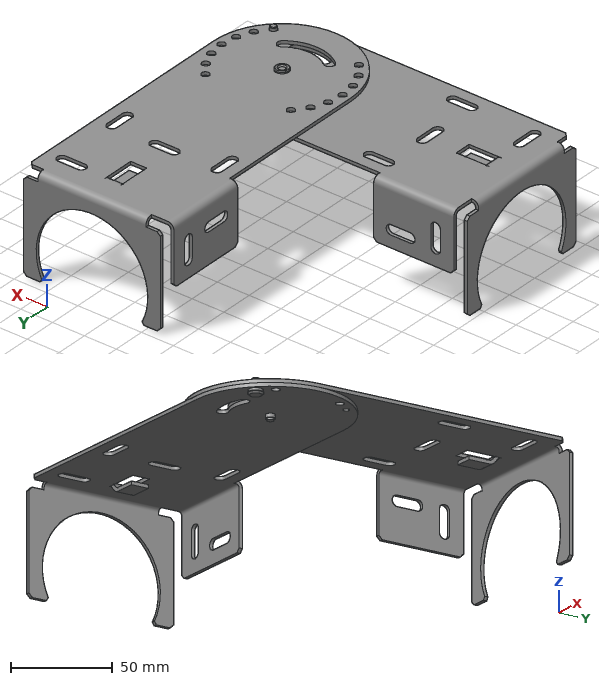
import cadquery as cq
import math


sheet = 2.0
corner_chamfer = 2.0
bend_inner = 2.0
bend_outer = bend_inner + sheet

half_width = 43.0
reach = 150.5
shoulder_y = 146.0

end_flange_depth = 62.5
end_bend_width = 68.0
end_shoulder_depth = 5.0
arch_radius = 35.0
arch_top_depth = 10.5

side_flange_outer = 48.0
side_flange_length = 50.5
side_flange_depth = 37.0
side_flange_end_y = shoulder_y - side_flange_length

slot_length = 18.0
slot_width = 6.0
row_slot_x = 33.0
row_slot_y = 87.0
middle_slot_y = 93.0
corner_slot_x = 27.0
corner_slot_y = 132.5
side_upright_slot_y = 134.5
side_upright_slot_depth = 20.5
side_level_slot_y = 112.5
upper_level_slot_depth = 15.0
lower_level_slot_depth = 26.5

tab_width = 10.0
tab_root_y = 133.8
tab_tip_y = 114.7
tab_window_end_y = 113.5
tab_drop = 4.5
tab_bend_angle = math.radians(45)

detent_ring_radius = 38.0
detent_hole_diameter = 4.5
detent_step = 15
detent_limit = 45
lower_detent_angle = 30
arc_slot_radius = 24.0
upper_arc_half_angle = 38.0
lower_arc_half_angle = 23.0

pivot_diameter = 5.0
pivot_head_diameter = 8.2
pivot_head_height = 1.25
pivot_head_chamfer = 0.5
pivot_recess_diameter = 5.0
pivot_recess_floor_diameter = 3.8
pivot_recess_depth = 0.8
pivot_tail = 2.0
pivot_tip_diameter = 3.75
pivot_tip_length = 1.0

detent_pin_diameter = 4.0
detent_pin_rise = 2.0
detent_pin_chamfer = 0.4
detent_collar_diameter = 7.5
detent_collar_height = 1.4
detent_head_diameter = 8.2
detent_head_height = 1.2
detent_head_chamfer = 0.9
pilot_hole_diameter = 3.2


def ring_point(angle):
    """Point on the detent ring, with the angle in degrees from +X."""
    turn = math.radians(angle)
    return (detent_ring_radius * math.cos(turn), detent_ring_radius * math.sin(turn))


def through(profile):
    """Cutter from a closed profile drawn at Z = 0, passing through one sheet below it."""
    return profile.extrude(-sheet)


def bend_and_flange(length, depth):
    """Bend along X with its flange hanging down; top at Z = 0, outer face at Y = 0."""
    return (
        cq.Workplane("YZ")
        .moveTo(-bend_outer, 0)
        .radiusArc((0, -bend_outer), bend_outer)
        .lineTo(0, -depth)
        .lineTo(-sheet, -depth)
        .lineTo(-sheet, -bend_outer)
        .radiusArc((-bend_outer, -sheet), -bend_inner)
        .close()
        .extrude(length / 2, both=True)
    )


def make_plate():
    """Flat plate with a round pivot end and a narrower band that reaches the end bend."""
    plate = (
        cq.Workplane("XY")
        .moveTo(-half_width, shoulder_y)
        .lineTo(half_width, shoulder_y)
        .lineTo(half_width, 0)
        .threePointArc((0, -half_width), (-half_width, 0))
        .close()
        .extrude(-sheet)
        .edges("|Z and >X and >Y")
        .chamfer(corner_chamfer)
    )
    end_band = cq.Workplane("XY").box(
        end_bend_width, reach - bend_outer - tab_root_y, sheet, centered=(True, False, False)
    ).translate((0, tab_root_y, -sheet))
    return plate.union(end_band)


def make_end_flange():
    """Flange across the end of the plate, with the pipe arch cut out of its lower edge."""
    bend = bend_and_flange(end_bend_width, end_shoulder_depth + sheet)
    panel_height = end_flange_depth - end_shoulder_depth
    panel = (
        cq.Workplane("XZ")
        .center(0, -end_shoulder_depth - panel_height / 2)
        .rect(2 * half_width, panel_height)
        .extrude(sheet)
    )
    arch = cq.Workplane("XZ").center(0, -arch_top_depth - arch_radius).circle(arch_radius).extrude(sheet)
    panel = panel.cut(arch).edges("|Y").chamfer(corner_chamfer)
    return bend.union(panel).translate((0, reach, 0))


def make_side_flange(level_slot_depth):
    """Flange along the -X side of the plate with one upright and one level slot."""
    flange = bend_and_flange(side_flange_length, side_flange_depth)
    flange = flange.edges("|Y and <Z").chamfer(corner_chamfer)
    flange_middle_y = shoulder_y - side_flange_length / 2
    slots = (
        cq.Workplane("XZ")
        .center(side_upright_slot_y - flange_middle_y, -side_upright_slot_depth)
        .slot2D(slot_length, slot_width, 90)
        .extrude(sheet)
    )
    slots = slots.union(
        cq.Workplane("XZ")
        .center(side_level_slot_y - flange_middle_y, -level_slot_depth)
        .slot2D(slot_length, slot_width)
        .extrude(sheet)
    )
    flange = flange.cut(slots).rotate((0, 0, 0), (0, 0, 1), 90)
    flange = flange.translate((-side_flange_outer, flange_middle_y, 0))
    band_width = side_flange_outer - bend_outer
    band = cq.Workplane("XY").box(
        band_width, side_flange_length, sheet, centered=False
    ).translate((-band_width, side_flange_end_y, -sheet))
    return flange.union(band)


def make_plate_slots():
    """Two slots across the plate and two along it."""
    slots = cq.Workplane("XY").pushPoints([(0, middle_slot_y), (corner_slot_x, corner_slot_y)])
    slots = through(slots.slot2D(slot_length, slot_width))
    upright = cq.Workplane("XY").pushPoints([(-row_slot_x, row_slot_y), (row_slot_x, row_slot_y)])
    return slots.union(through(upright.slot2D(slot_length, slot_width, 90)))


def make_tab_window():
    """Rectangular opening left where the tab is pressed out of the plate."""
    window = cq.Workplane("XY").center(0, (tab_root_y + tab_window_end_y) / 2)
    return through(window.rect(tab_width, tab_root_y - tab_window_end_y))


def make_tab():
    """Tab that bends down from the window's far edge, then runs level below the plate."""
    middle_radius = bend_inner + sheet / 2
    bend_run = middle_radius * math.sin(tab_bend_angle)
    bend_fall = middle_radius * (1 - math.cos(tab_bend_angle))
    slope_fall = tab_drop - 2 * bend_fall
    slope_run = slope_fall / math.tan(tab_bend_angle)
    slope_top = (tab_root_y - bend_run, -sheet / 2 - bend_fall)
    slope_foot = (slope_top[0] - slope_run, slope_top[1] - slope_fall)
    level_start = (slope_foot[0] - bend_run, slope_foot[1] - bend_fall)
    path = (
        cq.Workplane("YZ")
        .moveTo(tab_root_y, -sheet / 2)
        .radiusArc(slope_top, -middle_radius)
        .lineTo(*slope_foot)
        .radiusArc(level_start, middle_radius)
        .lineTo(tab_tip_y, level_start[1])
    )
    section = cq.Workplane("XZ", origin=(0, tab_root_y, -sheet / 2)).rect(tab_width, sheet)
    return section.sweep(path)


def make_arc_slot(half_angle):
    """Curved slot around the pivot, centred on the -Y direction."""
    half_slot = slot_width / 2
    turn = math.radians(half_angle)

    def at(radius, side):
        return (side * radius * math.sin(turn), -radius * math.cos(turn))

    outer = arc_slot_radius + half_slot
    inner = arc_slot_radius - half_slot
    profile = (
        cq.Workplane("XY")
        .moveTo(*at(outer, -1))
        .threePointArc((0, -outer), at(outer, 1))
        .radiusArc(at(inner, 1), -half_slot)
        .threePointArc((0, -inner), at(inner, -1))
        .radiusArc(at(outer, -1), -half_slot)
        .close()
    )
    return through(profile)


def make_hole(point, diameter):
    """Round cutter through one sheet."""
    return through(cq.Workplane("XY").center(*point).circle(diameter / 2))


def make_bracket(level_slot_depth):
    """Bracket along +Y with its top face at Z = 0 and only the pivot hole at its round end."""
    bracket = make_plate().union(make_end_flange()).union(make_side_flange(level_slot_depth))
    bracket = bracket.cut(make_plate_slots()).cut(make_tab_window()).union(make_tab())
    return bracket.cut(make_hole((0, 0), pivot_diameter))


def make_upper_bracket():
    """Bracket along +Y with two rows of detent holes and the long curved slot."""
    bracket = make_bracket(upper_level_slot_depth).cut(make_arc_slot(upper_arc_half_angle))
    for angle in range(-detent_limit, detent_limit + 1, detent_step):
        for side in (0, 180):
            bracket = bracket.cut(make_hole(ring_point(side + angle), detent_hole_diameter))
    return bracket.translate((0, 0, sheet))


def make_lower_bracket():
    """Bracket mirrored about the line Y = -X, so that it reaches along -X."""
    bracket = make_bracket(lower_level_slot_depth)
    bracket = bracket.mirror("YZ").rotate((0, 0, 0), (0, 0, 1), 90)
    bracket = bracket.cut(make_arc_slot(lower_arc_half_angle))
    for angle in (-lower_detent_angle, lower_detent_angle):
        bracket = bracket.cut(make_hole(ring_point(angle), detent_hole_diameter))
    bracket = bracket.cut(make_hole(ring_point(detent_limit), pilot_hole_diameter))
    return bracket.cut(make_hole(ring_point(-detent_limit), detent_pin_diameter))


def make_pivot_pin():
    """Pin with a chamfered, dished head above the brackets and a stepped tail below them."""
    head = (
        cq.Workplane("XY")
        .workplane(offset=sheet)
        .circle(pivot_head_diameter / 2)
        .extrude(pivot_head_height)
        .faces(">Z")
        .chamfer(pivot_head_chamfer)
    )
    recess = (
        cq.Workplane("XY")
        .workplane(offset=sheet + pivot_head_height)
        .circle(pivot_recess_diameter / 2)
        .workplane(offset=-pivot_recess_depth)
        .circle(pivot_recess_floor_diameter / 2)
        .loft()
    )
    shank_end = -sheet - pivot_tail
    shank = cq.Workplane("XY").workplane(offset=sheet).circle(pivot_diameter / 2).extrude(shank_end - sheet)
    tip = cq.Workplane("XY").workplane(offset=shank_end).circle(pivot_tip_diameter / 2).extrude(-pivot_tip_length)
    return head.union(shank).union(tip).cut(recess)


def make_detent_pin():
    """Pin pushed up through both brackets, with a collar and a wider head below them."""
    pin_length = 2 * sheet + detent_pin_rise
    base = cq.Workplane("XY").workplane(offset=-sheet)
    pin = base.circle(detent_pin_diameter / 2).extrude(pin_length).faces(">Z").chamfer(detent_pin_chamfer)
    collar = base.circle(detent_collar_diameter / 2).extrude(-detent_collar_height)
    head = (
        cq.Workplane("XY")
        .workplane(offset=-sheet - detent_collar_height)
        .circle(detent_head_diameter / 2)
        .extrude(-detent_head_height)
        .faces("<Z")
        .chamfer(detent_head_chamfer)
    )
    x, y = ring_point(-detent_limit)
    return pin.union(collar).union(head).translate((x, y, 0))


upper_bracket = make_upper_bracket()
lower_bracket = make_lower_bracket()
pivot_pin = make_pivot_pin()
detent_pin = make_detent_pin()

result = cq.Compound.makeCompound(
    [upper_bracket.val(), lower_bracket.val(), pivot_pin.val(), detent_pin.val()]
)